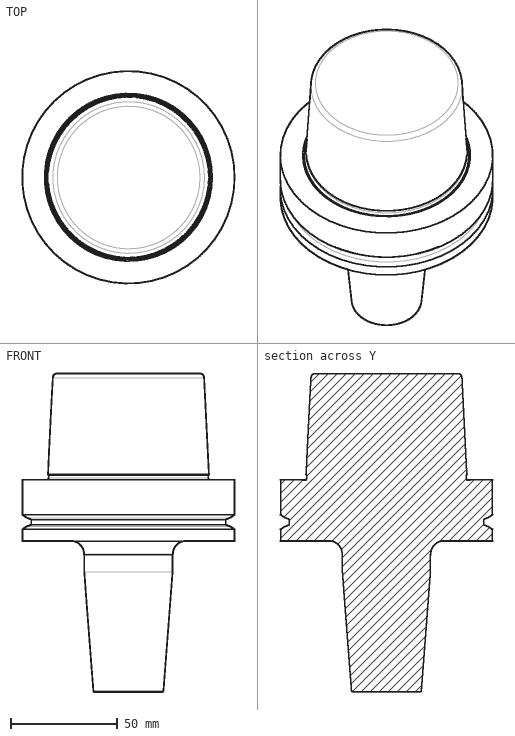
import cadquery as cq
import math

total_height = 149.9
shank_top = 49.9
nozzle_bottom = shank_top - total_height

shank_base_radius = 37.9
shank_base_height = 2.4
shank_taper = 0.05
shank_top_fillet = 2.1

neck_radius = 37.6
neck_top = 2.0
relief_fillet = 1.0
relief_depth = 0.3
relief_rim_radius = 39.4

flange_diameter = 100.0
flange_thickness = 29.0
groove_top = -16.6
groove_width = 6.7
groove_depth = 4.2
groove_inner_flank_height = 0.82
groove_knee_depth = 2.1
groove_knee_height = 1.3

nozzle_radius = 20.8
nozzle_root_radius = 21.0
nozzle_step_height = 0.5
nozzle_root_fillet = 6.0
nozzle_taper_start = -43.3
nozzle_tip_radius = 16.5
nozzle_tip_fillet = 0.9

shank_top_radius = shank_base_radius - shank_taper * (shank_top - shank_base_height)
flange_radius = flange_diameter / 2
groove_flank_height = groove_knee_height + groove_inner_flank_height
flange_bottom = -flange_thickness
arc_midpoint = math.sin(math.radians(45))


def revolve(profile):
    return profile.close().revolve(360, (0, 0, 0), (0, 1, 0))


def make_shank():
    """Tapered shank with a rounded top edge, reaching down to the relief floor."""
    shank = revolve(
        cq.Workplane("XZ")
        .moveTo(0, -relief_depth)
        .lineTo(neck_radius, -relief_depth)
        .lineTo(neck_radius, neck_top)
        .lineTo(shank_base_radius, shank_base_height)
        .lineTo(shank_top_radius, shank_top)
        .lineTo(0, shank_top)
    )
    return shank.faces(">Z").edges().fillet(shank_top_fillet)


def make_relief():
    """Shallow ring-shaped recess with an arc beside the neck and a sloping outer side."""
    floor_end_radius = neck_radius + relief_fillet
    arc_top = relief_fillet - relief_depth
    arc_offset = relief_fillet * arc_midpoint
    arc_middle = (floor_end_radius - arc_offset, arc_top - arc_offset)
    return revolve(
        cq.Workplane("XZ")
        .moveTo(neck_radius, arc_top)
        .threePointArc(arc_middle, (floor_end_radius, -relief_depth))
        .lineTo(relief_rim_radius, 0)
        .lineTo(relief_rim_radius, arc_top)
    )


def make_neck_collar():
    """Material around the neck from which the relief is cut."""
    return cq.Workplane("XY").circle(relief_rim_radius).extrude(relief_fillet - relief_depth)


def make_groove():
    """Ring with a flat floor and flanks bent at a knee."""
    knee_radius = flange_radius - groove_knee_depth
    floor_radius = flange_radius - groove_depth
    groove_bottom = groove_top - groove_width
    return revolve(
        cq.Workplane("XZ")
        .moveTo(flange_radius, groove_top)
        .lineTo(knee_radius, groove_top - groove_knee_height)
        .lineTo(floor_radius, groove_top - groove_flank_height)
        .lineTo(floor_radius, groove_bottom + groove_flank_height)
        .lineTo(knee_radius, groove_bottom + groove_knee_height)
        .lineTo(flange_radius, groove_bottom)
    )


def make_flange():
    flange = cq.Workplane("XY").circle(flange_radius).extrude(-flange_thickness)
    return flange.cut(make_groove())


def make_nozzle():
    """Cylinder and taper with a concave root, a small step and a rounded tip."""
    root_radius = nozzle_root_radius + nozzle_root_fillet
    root_end = flange_bottom - nozzle_root_fillet
    arc_offset = nozzle_root_fillet * arc_midpoint
    arc_middle = (root_radius - arc_offset, root_end + arc_offset)
    nozzle = revolve(
        cq.Workplane("XZ")
        .moveTo(0, flange_bottom)
        .lineTo(root_radius, flange_bottom)
        .threePointArc(arc_middle, (nozzle_root_radius, root_end))
        .lineTo(nozzle_radius, root_end - nozzle_step_height)
        .lineTo(nozzle_radius, nozzle_taper_start)
        .lineTo(nozzle_tip_radius, nozzle_bottom)
        .lineTo(0, nozzle_bottom)
    )
    return nozzle.faces("<Z").edges().fillet(nozzle_tip_fillet)


holder = make_flange().union(make_neck_collar()).cut(make_relief())
result = holder.union(make_shank()).union(make_nozzle())